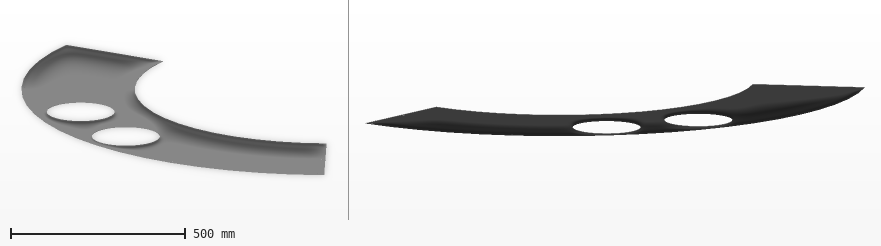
import cadquery as cq
import math

outer_width = 1533.0
half_angle = 60.0
thickness = 1.24
inner_radius = 561.0
outer_radius = outer_width / 2 / math.sin(math.radians(half_angle))
mid_radius = (inner_radius + outer_radius) / 2

opening_diameter = 195.0
opening_centers = [(-141.0, -739.0), (144.0, -748.0)]

fixing_diameter = 5.0
edge_inset = 10.0
outer_corner_inset = 17.0


def polar_point(radius, angle):
    """Point at an angle in degrees from -Y, positive toward +X."""
    turn = math.radians(angle)
    return (radius * math.sin(turn), -radius * math.cos(turn))


def make_plate():
    return (
        cq.Workplane("XY")
        .moveTo(*polar_point(outer_radius, -half_angle))
        .threePointArc(polar_point(outer_radius, 0), polar_point(outer_radius, half_angle))
        .lineTo(*polar_point(inner_radius, half_angle))
        .threePointArc(polar_point(inner_radius, 0), polar_point(inner_radius, -half_angle))
        .close()
        .extrude(thickness)
    )


def inset_angle(radius, inset=edge_inset):
    """Angle that keeps a point the given inset away from a radial line."""
    return math.degrees(math.asin(inset / radius))


def fixing_points():
    inner_row = inner_radius + edge_inset
    outer_row = outer_radius - edge_inset
    points = []
    for side in (-1, 1):
        end_holes = [
            (inner_row, edge_inset),
            (mid_radius, edge_inset),
            (outer_row, outer_corner_inset),
        ]
        for radius, inset in end_holes:
            points.append(polar_point(radius, side * (half_angle - inset_angle(radius, inset))))
        for angle in (half_angle / 2, inset_angle(outer_row)):
            points.append(polar_point(outer_row, side * angle))
    return points


def make_holes(points, diameter):
    return cq.Workplane("XY").pushPoints(points).circle(diameter / 2).extrude(thickness)


openings = make_holes(opening_centers, opening_diameter)
fixing_holes = make_holes(fixing_points(), fixing_diameter)
result = make_plate().cut(openings).cut(fixing_holes)